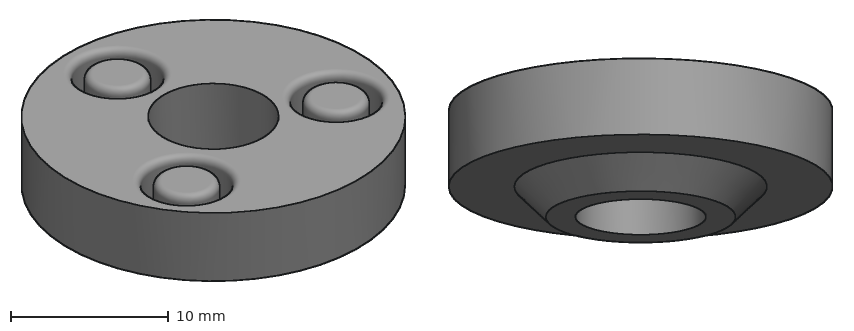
import cadquery as cq
import math

disc_diameter = 24.3
disc_height = 5.0
hub_height = 2.0
hub_top_diameter = 16.0
hub_bottom_diameter = 12.0
bore_diameter = 8.25

pocket_count = 3
pocket_circle_radius = 8.16
pocket_diameter = 5.8
post_diameter = 4.2
pocket_depth = 3.0
edge_radius = 0.5

total_height = hub_height + disc_height


def make_body():
    """Revolve the bored disc and hub about Z, with the hub's small end at Z = 0."""
    bore_radius = bore_diameter / 2
    disc_radius = disc_diameter / 2
    profile = [
        (bore_radius, 0),
        (hub_bottom_diameter / 2, 0),
        (hub_top_diameter / 2, hub_height),
        (disc_radius, hub_height),
        (disc_radius, total_height),
        (bore_radius, total_height),
    ]
    return cq.Workplane("XZ").polyline(profile).close().revolve(360, (0, 0), (0, 1))


def cut_ring_pockets(body):
    """Cut the ring-shaped pockets, leaving a post standing in each; one lies on -X."""
    return (
        body.faces(">Z")
        .workplane(origin=(0, 0, total_height))
        .polarArray(pocket_circle_radius, 180, 360, pocket_count)
        .circle(pocket_diameter / 2)
        .circle(post_diameter / 2)
        .cutBlind(-pocket_depth)
    )


def is_off_axis(edge):
    """Tell whether a circular edge is centred away from the Z axis."""
    center = edge.arcCenter()
    return math.hypot(center.x, center.y) > bore_diameter / 2


def round_pocket_edges(body):
    """Round the pocket rims and post tops, leaving the disc and bore edges sharp."""
    return body.faces(">Z").edges().filter(is_off_axis).fillet(edge_radius)


result = round_pocket_edges(cut_ring_pockets(make_body()))